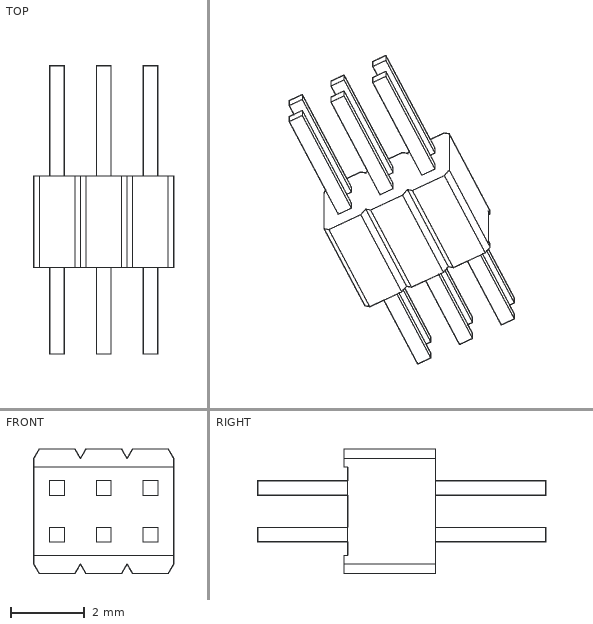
import cadquery as cq
import math

pitch = 1.27
columns = 3
rows = 2

body_width = columns * pitch
body_depth = 2.5
body_height = 3.4
bevel_width = 0.15
bevel_angle = 60
bevel_height = bevel_width * math.tan(math.radians(bevel_angle))

recess_depth = 0.1
recess_height = 2.4

pin_size = 0.4
front_pin_length = 2.35
rear_pin_length = 3.0
pin_length = front_pin_length + body_depth + rear_pin_length

body_front = -body_depth / 2
pin_front = body_front - front_pin_length


def make_cell(x_center):
    """One column of the block: a rectangle in XZ with four beveled corners.

    Neighbouring cells meet at their bevels, which forms the V notches.
    """
    half_width = pitch / 2
    half_height = body_height / 2
    flat_x = half_width - bevel_width
    flat_z = half_height - bevel_height
    outline = [
        (-half_width, -flat_z),
        (-flat_x, -half_height),
        (flat_x, -half_height),
        (half_width, -flat_z),
        (half_width, flat_z),
        (flat_x, half_height),
        (-flat_x, half_height),
        (-half_width, flat_z),
    ]
    cell = cq.Workplane("XZ").polyline(outline).close().extrude(-body_depth)
    return cell.translate((x_center, body_front, 0))


def make_recess():
    """Full-width cutter for the recess in the front face."""
    cutter = cq.Workplane("XY").box(body_width, recess_depth, recess_height)
    return cutter.translate((0, body_front + recess_depth / 2, 0))


def make_pin(x_center, z_center):
    """One straight square pin passing through the block."""
    pin = cq.Workplane("XY").box(pin_size, pin_length, pin_size)
    return pin.translate((x_center, pin_front + pin_length / 2, z_center))


def centered_positions(count):
    """Positions at the pin pitch, symmetric about zero."""
    return [(index - (count - 1) / 2) * pitch for index in range(count)]


column_positions = centered_positions(columns)
row_positions = centered_positions(rows)

body = make_cell(column_positions[0])
for x in column_positions[1:]:
    body = body.union(make_cell(x))
body = body.clean().cut(make_recess())

result = body
for x in column_positions:
    for z in row_positions:
        result = result.union(make_pin(x, z))